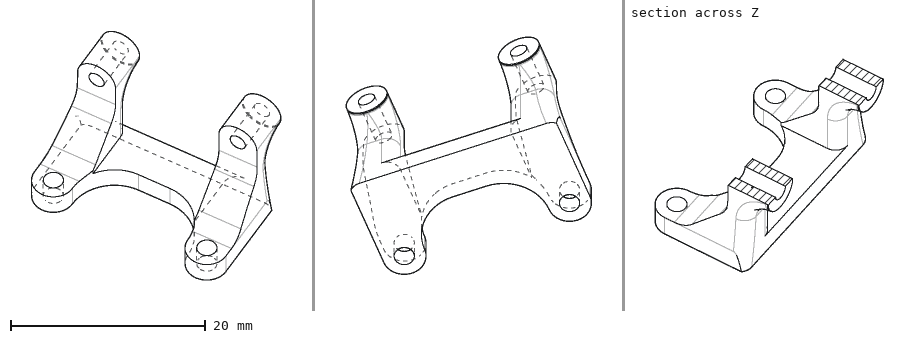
import cadquery as cq
import math

PLATE_WIDTH = 22.7
PLATE_THICKNESS = 2.5
PLATE_BACK_Y = 10.0
EAR_RADIUS = 2.25
EAR_HOLE_DIAMETER = 2.08
EAR_X = PLATE_WIDTH / 2 - EAR_RADIUS
RELIEF_RADIUS = 5.0

BOSS_RADIUS = 2.25
BOSS_HOLE_DIAMETER = 1.8
BOSS_LENGTH = 5.0
BOSS_FRONT_Y = 7.43
BOSS_BACK_Y = BOSS_FRONT_Y + BOSS_LENGTH
TOTAL_HEIGHT = 13.6
BOSS_Z = TOTAL_HEIGHT - BOSS_RADIUS
BOSS_BOTTOM_Z = BOSS_Z - BOSS_RADIUS
LEFT_POST_INNER_X = 6.0
RIGHT_POST_INNER_X = 6.25

GUSSET_LEG = 5.0
GUSSET_ANGLE = 45.0
GUSSET_BLEND_RADIUS = 3.0
NECK_RADIUS = 2.15
NECK_BACK_GAP = 0.14
NECK_BACK_Y = BOSS_BACK_Y - NECK_BACK_GAP
NECK_START_Z = BOSS_BOTTOM_Z - NECK_RADIUS

BACK_EDGE_RADIUS = 1.5
NECK_END_CLEARANCE = 0.05
NECK_END_RADIUS = BOSS_RADIUS - NECK_END_CLEARANCE

SELECTION_MARGIN = 0.01


def make_plate():
    """Plate with two rounded ears, drawn as one outline; the relief is cut later."""
    half_width = PLATE_WIDTH / 2
    return (
        cq.Workplane("XY")
        .moveTo(-half_width, PLATE_BACK_Y)
        .lineTo(-half_width, 0)
        .threePointArc((-EAR_X, -EAR_RADIUS), (-EAR_X + EAR_RADIUS, 0))
        .lineTo(EAR_X - EAR_RADIUS, 0)
        .threePointArc((EAR_X, -EAR_RADIUS), (half_width, 0))
        .lineTo(half_width, PLATE_BACK_Y)
        .close()
        .extrude(PLATE_THICKNESS)
    )


def make_relief():
    """Cutter for the arched opening between the ears."""
    half_opening = EAR_X - EAR_RADIUS
    half_flat = half_opening - RELIEF_RADIUS
    diagonal = RELIEF_RADIUS * math.sqrt(0.5)
    return (
        cq.Workplane("XY")
        .moveTo(-half_opening, -EAR_RADIUS)
        .lineTo(-half_opening, 0)
        .threePointArc((-half_flat - diagonal, diagonal), (-half_flat, RELIEF_RADIUS))
        .lineTo(half_flat, RELIEF_RADIUS)
        .threePointArc((half_flat + diagonal, diagonal), (half_opening, 0))
        .lineTo(half_opening, -EAR_RADIUS)
        .close()
        .extrude(TOTAL_HEIGHT)
    )


def make_side_profile():
    """Post profile in the YZ plane with a 45 degree gusset in front and a curved neck behind."""
    gusset_top_z = PLATE_THICKNESS + GUSSET_LEG
    gusset_toe_y = BOSS_FRONT_Y - GUSSET_LEG
    blend_tangent = GUSSET_BLEND_RADIUS * math.tan(math.radians(GUSSET_ANGLE / 2))
    slope_step = blend_tangent * math.sqrt(0.5)
    neck_end_y = PLATE_BACK_Y + NECK_RADIUS
    neck_mid = NECK_RADIUS * (1 - math.sqrt(0.5))
    return (
        cq.Workplane("YZ")
        .moveTo(gusset_toe_y - blend_tangent, PLATE_THICKNESS)
        .radiusArc((gusset_toe_y + slope_step, PLATE_THICKNESS + slope_step), -GUSSET_BLEND_RADIUS)
        .lineTo(BOSS_FRONT_Y - slope_step, gusset_top_z - slope_step)
        .radiusArc((BOSS_FRONT_Y, gusset_top_z + blend_tangent), -GUSSET_BLEND_RADIUS)
        .lineTo(BOSS_FRONT_Y, BOSS_Z)
        .lineTo(NECK_BACK_Y, BOSS_Z)
        .lineTo(NECK_BACK_Y, BOSS_BOTTOM_Z)
        .lineTo(neck_end_y, BOSS_BOTTOM_Z)
        .threePointArc(
            (PLATE_BACK_Y + neck_mid, BOSS_BOTTOM_Z - neck_mid),
            (PLATE_BACK_Y, NECK_START_Z),
        )
        .lineTo(PLATE_BACK_Y, 0)
        .lineTo(gusset_toe_y - blend_tangent, 0)
        .close()
        .extrude(PLATE_WIDTH, both=True)
    )


def make_front_profile(inner_x):
    """Post width in the XZ plane: flat inside, outside flaring on an arc tangent to the boss."""
    top_outer_x = inner_x + 2 * BOSS_RADIUS
    spread = PLATE_WIDTH / 2 - top_outer_x
    drop = BOSS_Z - PLATE_THICKNESS
    flare_radius = (drop**2 + spread**2) / (2 * spread)
    foot_outer_x = top_outer_x + flare_radius - math.sqrt(flare_radius**2 - BOSS_Z**2)
    return (
        cq.Workplane("XZ")
        .moveTo(inner_x, 0)
        .lineTo(foot_outer_x, 0)
        .radiusArc((top_outer_x, BOSS_Z), flare_radius)
        .lineTo(inner_x, BOSS_Z)
        .close()
        .extrude(-BOSS_BACK_Y)
    )


def round_back_edges(post):
    """Round both back edges; the radius is constant up the column and grows along the neck to the boss."""
    column_back = cq.selectors.BoxSelector(
        (0, PLATE_BACK_Y - SELECTION_MARGIN, -SELECTION_MARGIN),
        (PLATE_WIDTH, PLATE_BACK_Y + SELECTION_MARGIN, NECK_START_Z + SELECTION_MARGIN),
        boundingbox=True,
    )
    column_edges = post.edges(column_back).edges("not #Z").vals()
    rounding = cq.occ_impl.shapes.BRepFilletAPI_MakeFillet(post.val().wrapped)
    for contour, edge in enumerate(column_edges, start=1):
        rounding.Add(edge.wrapped)
        for vertex in edge.Vertices():
            rounding.SetRadius(BACK_EDGE_RADIUS, contour, vertex.wrapped)
        contour_ends = (rounding.FirstVertex(contour), rounding.LastVertex(contour))
        neck_end = max((cq.Vertex(end) for end in contour_ends), key=lambda end: end.Z)
        rounding.SetRadius(NECK_END_RADIUS, contour, neck_end.wrapped)
    return cq.Workplane(cq.Shape.cast(rounding.Shape()))


def make_post(inner_x):
    """Post on the +X side with its round boss, limited to the plate's width."""
    column = make_side_profile().intersect(make_front_profile(inner_x))
    boss = (
        cq.Workplane("XZ", origin=(inner_x + BOSS_RADIUS, BOSS_FRONT_Y, BOSS_Z))
        .circle(BOSS_RADIUS)
        .extrude(-BOSS_LENGTH)
    )
    width_limit = cq.Workplane("XY").box(
        PLATE_WIDTH, 2 * BOSS_BACK_Y, TOTAL_HEIGHT, centered=(True, True, False)
    )
    return round_back_edges(column).union(boss).intersect(width_limit)


def make_corner_cutter():
    """Block at the plate's back corner on the +X side; the rounded post foot takes its place."""
    return (
        cq.Workplane("XY")
        .moveTo(EAR_X, PLATE_BACK_Y - BACK_EDGE_RADIUS)
        .rect(PLATE_WIDTH / 2, 2 * BACK_EDGE_RADIUS, centered=False)
        .extrude(PLATE_THICKNESS)
    )


def make_boss_hole(x):
    return (
        cq.Workplane("XZ", origin=(x, BOSS_FRONT_Y, BOSS_Z))
        .circle(BOSS_HOLE_DIAMETER / 2)
        .extrude(-BOSS_LENGTH)
    )


def make_ear_holes():
    return (
        cq.Workplane("XY")
        .pushPoints([(-EAR_X, 0), (EAR_X, 0)])
        .circle(EAR_HOLE_DIAMETER / 2)
        .extrude(PLATE_THICKNESS)
    )


right_corner = make_corner_cutter()
plate = make_plate().cut(right_corner).cut(right_corner.mirror("YZ"))
right_post = make_post(RIGHT_POST_INNER_X)
left_post = make_post(LEFT_POST_INNER_X).mirror("YZ")

body = plate.union(right_post).union(left_post).cut(make_relief()).cut(make_ear_holes())
for boss_x in (-LEFT_POST_INNER_X - BOSS_RADIUS, RIGHT_POST_INNER_X + BOSS_RADIUS):
    body = body.cut(make_boss_hole(boss_x))

result = cq.Workplane(body.solids().val())